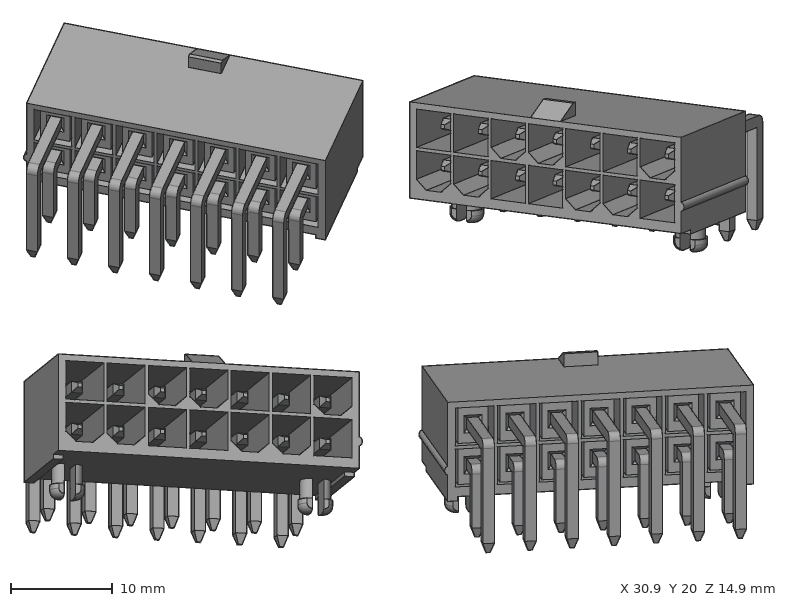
import cadquery as cq


COLUMNS = 7
PITCH = 4.2
LOWER_ROW_Z = 2.95
ROW_HEIGHTS = (LOWER_ROW_Z, LOWER_ROW_Z + PITCH)
COLUMN_XS = [(i - (COLUMNS - 1) / 2) * PITCH for i in range(COLUMNS)]

HOUSING_WIDTH = 30.6
HOUSING_DEPTH = 12.82
HOUSING_HEIGHT = 9.7
RAIL_WIDTH = 1.0
RAIL_HEIGHT = 0.43
RAIL_SETBACK = 1.9

RIDGE_Z = 2.72
RIDGE_HEIGHT = 0.93
RIDGE_REACH = 0.3

LATCH_WIDTH = 3.37
LATCH_LENGTH = 3.0
LATCH_LAND = 0.45
LATCH_HEIGHT = 1.33

CELL_SIZE = 3.85
BLOCK_WIDTH = 3.03
BLOCK_RECESS = 0.77
BLOCK_THICKNESS = 1.95
BLOCK_BACK_Y = BLOCK_RECESS + BLOCK_THICKNESS
KEY_WIDTH = 1.1
KEY_HEIGHT = 1.0
KEYED_COLUMNS = ((1, 2, 5, 6), (0, 3, 4))

PIN_SIZE = 1.15
PIN_BEND_RADIUS = 0.8
PIN_BOTTOM_Z = -3.85
PIN_TIP_LENGTH = 1.05
PIN_TIP_SIZE = 0.4
PIN_END_SETBACK = 1.85
PIN_REACHES = (1.65, 7.15)
POCKET_SIZE = 1.8
POCKET_DEPTH = (POCKET_SIZE - PIN_SIZE) / 2

PEG_Y = 6.2
PEG_LOBE_OFFSET = 0.45
PEG_STEM_RADIUS = 1.08
PEG_HEAD_RADIUS = 1.27
PEG_HEAD_TOP_Z = -1.98
PEG_BOTTOM_Z = -3.35
PEG_ROUNDING = 0.83
PEG_SLOT_WIDTH = 1.15


def box(width, depth, height, x, y, z):
    """Box centred on x, starting at y and z."""
    return cq.Workplane("XY").box(width, depth, height, (True, False, False)).translate((x, y, z))


def section_at(y, x, z):
    """Sketch plane facing +Y at a point; its local axes run along -X and +Z."""
    return cq.Workplane(cq.Plane(origin=(x, y, z), xDir=(-1, 0, 0), normal=(0, 1, 0)))


def make_shell():
    shell = box(HOUSING_WIDTH, HOUSING_DEPTH, HOUSING_HEIGHT, 0, 0, 0)
    for side in (-1, 1):
        rail_x = side * (HOUSING_WIDTH - RAIL_WIDTH) / 2
        rail_length = HOUSING_DEPTH - RAIL_SETBACK
        shell = shell.union(box(RAIL_WIDTH, rail_length, RAIL_HEIGHT, rail_x, 0, -RAIL_HEIGHT))
    return shell.union(make_ridge()).union(make_latch())


def make_ridge():
    wall = HOUSING_WIDTH / 2
    half = RIDGE_HEIGHT / 2
    return (
        section_at(0, 0, RIDGE_Z)
        .moveTo(wall, -half)
        .threePointArc((wall + RIDGE_REACH, 0), (wall, half))
        .close()
        .extrude(HOUSING_DEPTH)
    )


def make_latch():
    front = HOUSING_DEPTH - LATCH_LENGTH
    top = HOUSING_HEIGHT + LATCH_HEIGHT
    return (
        cq.Workplane("YZ")
        .moveTo(front, HOUSING_HEIGHT)
        .lineTo(front, top)
        .lineTo(front + LATCH_LAND, top)
        .lineTo(HOUSING_DEPTH, HOUSING_HEIGHT)
        .close()
        .extrude(LATCH_WIDTH / 2, both=True)
    )


def make_cell_opening(x, z, keyed):
    """Square through opening; behind the block a keyed cell has its two lower corners filled."""
    half = CELL_SIZE / 2
    opening = box(CELL_SIZE, HOUSING_DEPTH, CELL_SIZE, x, 0, z - half)
    if keyed:
        for side in (-1, 1):
            key = (
                section_at(BLOCK_BACK_Y, x, z)
                .moveTo(side * half, -half)
                .lineTo(side * half, KEY_HEIGHT - half)
                .lineTo(side * (half - KEY_WIDTH), -half)
                .close()
                .extrude(HOUSING_DEPTH - BLOCK_BACK_Y)
            )
            opening = opening.cut(key)
    return opening


def make_block(x, z):
    """Full-height block across a cell, with a tapered pocket around the pin."""
    block = box(BLOCK_WIDTH, BLOCK_THICKNESS, CELL_SIZE, x, BLOCK_RECESS, z - CELL_SIZE / 2)
    pocket = (
        section_at(BLOCK_RECESS, x, z)
        .rect(POCKET_SIZE, POCKET_SIZE)
        .workplane(offset=POCKET_DEPTH)
        .rect(PIN_SIZE, PIN_SIZE)
        .loft()
    )
    return block.cut(pocket)


def make_tip(plane):
    return (
        cq.Workplane(plane)
        .rect(PIN_SIZE, PIN_SIZE)
        .workplane(offset=PIN_TIP_LENGTH)
        .rect(PIN_TIP_SIZE, PIN_TIP_SIZE)
        .loft()
    )


def make_pin(z, reach):
    """Square L-shaped pin at X = 0 with both ends tapered; the bend is sharp inside, round outside."""
    half = PIN_SIZE / 2
    tip_start_y = HOUSING_DEPTH - PIN_END_SETBACK - PIN_TIP_LENGTH
    tip_start_z = PIN_BOTTOM_Z + PIN_TIP_LENGTH
    leg = (
        cq.Workplane("YZ")
        .moveTo(tip_start_y, z + half)
        .lineTo(-reach, z + half)
        .lineTo(-reach, tip_start_z)
        .lineTo(-reach + PIN_SIZE, tip_start_z)
        .lineTo(-reach + PIN_SIZE, z - half)
        .lineTo(tip_start_y, z - half)
        .close()
        .extrude(half, both=True)
        .edges(cq.selectors.NearestToPointSelector((0, -reach, z + half)))
        .fillet(PIN_BEND_RADIUS)
    )
    mating_tip = make_tip(cq.Plane((0, tip_start_y, z), (1, 0, 0), (0, 1, 0)))
    board_tip = make_tip(cq.Plane((0, half - reach, tip_start_z), (1, 0, 0), (0, 0, -1)))
    return leg.union(mating_tip).union(board_tip)


def make_peg():
    """Snap peg at X = 0: two round lobes with flat-sided barbed heads, split by a slot."""
    stem_width = 2 * PEG_STEM_RADIUS
    head_height = PEG_HEAD_TOP_Z - PEG_BOTTOM_Z
    head_length = 2 * (PEG_LOBE_OFFSET + PEG_HEAD_RADIUS)
    side_y = PEG_Y - PEG_STEM_RADIUS
    base = cq.Workplane("XY").center(0, PEG_Y)
    peg = base.slot2D(2 * (PEG_LOBE_OFFSET + PEG_STEM_RADIUS), stem_width).extrude(PEG_HEAD_TOP_Z)
    head = (
        base.workplane(offset=PEG_BOTTOM_Z)
        .slot2D(head_length, 2 * PEG_HEAD_RADIUS)
        .extrude(head_height)
        .faces("<Z")
        .edges()
        .fillet(PEG_ROUNDING)
    )
    flats = box(head_length, stem_width, head_height, 0, side_y, PEG_BOTTOM_Z)
    slot = box(PEG_SLOT_WIDTH, stem_width, -PEG_BOTTOM_Z, 0, side_y, PEG_BOTTOM_Z)
    return peg.union(head.intersect(flats)).cut(slot)


result = make_shell()

for row_z, keyed_columns in zip(ROW_HEIGHTS, KEYED_COLUMNS):
    for column, x in enumerate(COLUMN_XS):
        result = result.cut(make_cell_opening(x, row_z, column in keyed_columns))
        result = result.union(make_block(x, row_z))

for row_z, reach in zip(ROW_HEIGHTS, PIN_REACHES):
    pin = make_pin(row_z, reach)
    for x in COLUMN_XS:
        result = result.union(pin.translate((x, 0, 0)))

peg = make_peg()
for x in (COLUMN_XS[0], COLUMN_XS[-1]):
    result = result.union(peg.translate((x, 0, 0)))